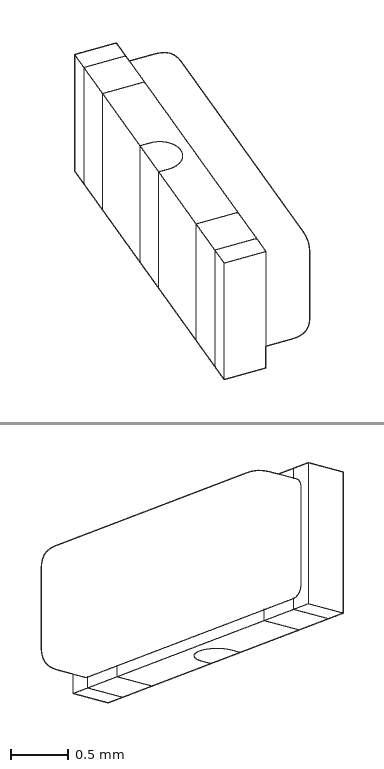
import cadquery as cq
import math

board_length = 3.2
board_height = 1.3
board_thickness = 0.4
end_length = 0.2
band_length = 0.4
core_length = board_length - 2 * (end_length + band_length)

marker_width = 0.4
marker_depth = 0.3

lens_margin = 0.1
lens_depth = 0.5
lens_length = board_length - 2 * lens_margin
lens_height = board_height - 2 * lens_margin
lens_edge_radius = 0.1
corner_size = 2 * lens_edge_radius
corner_inset = 0.054

front_y = -(board_thickness + lens_depth) / 2
board_back_y = front_y + board_thickness


def board_block(length, center_x):
    """Full-height, full-thickness block of the board."""
    block = cq.Workplane("XY").box(length, board_thickness, board_height)
    return block.translate((center_x, front_y + board_thickness / 2, 0))


def make_marker():
    half_width = marker_width / 2
    arc_start_y = front_y + marker_depth - half_width
    return (
        cq.Workplane("XY", origin=(0, 0, -board_height / 2))
        .moveTo(-half_width, front_y)
        .lineTo(half_width, front_y)
        .lineTo(half_width, arc_start_y)
        .threePointArc((0, front_y + marker_depth), (-half_width, arc_start_y))
        .close()
        .extrude(board_height)
    )


def half_arc(start, end, center):
    """Circular arc from start to end, bulging away from the center."""
    outward = (start + end) * 0.5 - center
    middle = center + outward.normalized() * (start - center).Length
    return cq.Edge.makeThreePointArc(start, middle, end)


def make_corner():
    """Softened lens corner, a cube with its sharp corner at the origin, reaching into +X, +Y and +Z.

    Six curves run from the middle of the corner: three to the flat faces, three to the rounded edges.
    """
    radius = lens_edge_radius
    size = corner_size
    edge_middle = radius * (1 - math.sqrt(0.5))
    face_arc_middle = size - (size - radius) * math.sqrt(0.5)
    corner_middle = cq.Vector(corner_inset, corner_inset, corner_inset)

    def point(axis, along, first, second):
        """Point given by its distance along one axis, then along the next two in cyclic order."""
        distances = [along, first, second]
        return cq.Vector(*(distances[(i - axis) % 3] for i in range(3)))

    def spoke(start, start_direction):
        """Curve to the middle of the corner, ending square to the corner's diagonal."""
        diagonal = cq.Vector(1, 1, 1).normalized()
        inward = corner_middle - start
        end_direction = inward - diagonal * inward.dot(diagonal)
        return cq.Edge.makeSpline([start, corner_middle], tangents=[start_direction, end_direction])

    def outline_face(arc, corners):
        """Flat face bounded by an arc and straight sides through the given corners."""
        path = [arc.endPoint(), *corners, arc.startPoint()]
        sides = [cq.Edge.makeLine(p, q) for p, q in zip(path, path[1:])]
        return cq.Face.makeFromWires(cq.Wire.assembleEdges([arc, *sides]))

    faces = []
    face_spokes = []
    edge_spokes = []
    for axis in range(3):
        face_middle = point(axis, 0, face_arc_middle, face_arc_middle)
        face_arc = cq.Edge.makeThreePointArc(
            point(axis, 0, radius, size), face_middle, point(axis, 0, size, radius)
        )
        faces.append(outline_face(face_arc, [point(axis, 0, size, size)]))
        face_spokes.append(spoke(face_middle, point(axis, 0, -1, -1)))

        edge_point = point(axis, size, edge_middle, edge_middle)
        edge_arc = cq.Edge.makeThreePointArc(
            point(axis, size, 0, radius), edge_point, point(axis, size, radius, 0)
        )
        square = [(size, 0), (size, size), (0, size)]
        faces.append(outline_face(edge_arc, [point(axis, size, *corner) for corner in square]))
        edge_spokes.append(spoke(edge_point, point(axis, -1, 0, 0)))

    for axis in range(3):
        face_middle = face_spokes[axis].startPoint()
        face_center = point(axis, 0, size, size)
        beside = [
            ((axis + 1) % 3, point(axis, 0, size, radius)),
            ((axis + 2) % 3, point(axis, 0, radius, size)),
        ]
        for edge_axis, arc_junction in beside:
            edge_point = edge_spokes[edge_axis].startPoint()
            edge_center = point(edge_axis, size, radius, radius)
            sides = [
                face_spokes[axis],
                half_arc(face_middle, arc_junction, face_center),
                half_arc(arc_junction, edge_point, edge_center),
                edge_spokes[edge_axis],
            ]
            faces.append(cq.Face.makeNSidedSurface(sides, []))
    return cq.Solid.makeSolid(cq.Shell.makeShell(faces))


def make_lens():
    block = cq.Workplane("XY").box(lens_length, lens_depth, lens_height)
    lens = block.edges("not <Y").fillet(lens_edge_radius)

    corner_offset = cq.Vector(lens_length, lens_depth, lens_height) * 0.5
    cube_offset = corner_offset - cq.Vector(corner_size, corner_size, corner_size) * 0.5
    corner = make_corner().mirror("YZ").mirror("XZ").mirror("XY").translate(corner_offset)
    cube = cq.Solid.makeBox(corner_size, corner_size, corner_size)
    cube = cube.translate(cube_offset - cube.Center())
    for mirror_planes in ([], ["YZ"], ["XY"], ["YZ", "XY"]):
        placed_cube = cube
        placed_corner = corner
        for plane in mirror_planes:
            placed_cube = placed_cube.mirror(plane)
            placed_corner = placed_corner.mirror(plane)
        lens = lens.cut(cq.Workplane(placed_cube)).union(cq.Workplane(placed_corner))
    return lens.clean().solids().translate((0, board_back_y + lens_depth / 2, 0))


marker = make_marker()
core = board_block(core_length, 0).cut(marker)
lens = make_lens()

band_x = (core_length + band_length) / 2
end_x = (board_length - end_length) / 2
bands = [board_block(band_length, side * band_x) for side in (-1, 1)]
ends = [board_block(end_length, side * end_x) for side in (-1, 1)]

bodies = [core, marker, lens, *bands, *ends]
result = cq.Compound.makeCompound([body.val() for body in bodies])